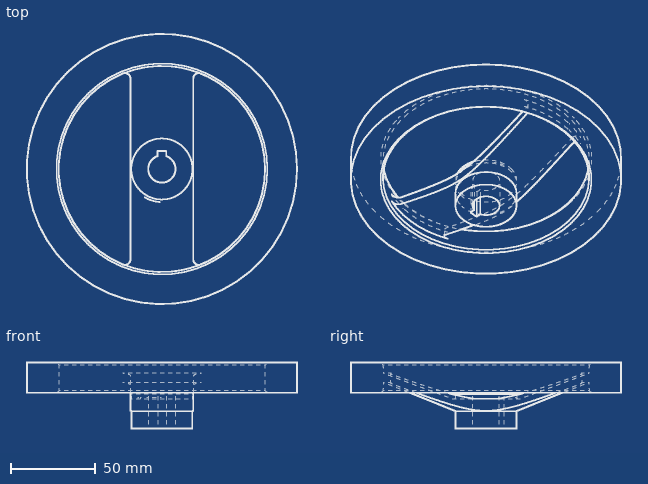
import cadquery as cq
import math

rim_outer_radius = 80.0
rim_inner_radius = 61.0
rim_height = 18.0
rim_chamfer = 1.5

overall_height = 39.0
hub_radius = 18.0
hub_top_z = -18.5
hub_bottom_z = -overall_height
bore_radius = 8.0
keyway_width = 5.0
keyway_reach = 10.5

spoke_width = 37.3
web_base_z = -28.8
web_under_slope = 0.4
web_top_base_z = -22.0
web_top_slope = 0.37
web_overlap = 3.2
corner_radius = 3.2
hub_fillet = 1.1


def web_under_z(radius):
    return web_base_z + web_under_slope * (radius - hub_radius)


def web_top_z(radius):
    return web_top_base_z + web_top_slope * (radius - hub_radius)


def revolve_profile(profile):
    """Revolve a closed (radius, z) profile about Z."""
    return profile.close().revolve(360, (0, 0, 0), (0, 1, 0))


def make_rim():
    profile = (
        cq.Workplane("XZ")
        .moveTo(rim_inner_radius, rim_chamfer - rim_height)
        .lineTo(rim_inner_radius + rim_chamfer, -rim_height)
        .lineTo(rim_outer_radius, -rim_height)
        .lineTo(rim_outer_radius, 0)
        .lineTo(rim_inner_radius + rim_chamfer, 0)
        .lineTo(rim_inner_radius, -rim_chamfer)
    )
    return revolve_profile(profile)


def make_web():
    """Conical web with a concave fillet running up the hub wall."""
    end_radius = rim_inner_radius + web_overlap
    tilt = math.atan(web_top_slope)
    center_r = hub_radius + hub_fillet
    center_z = web_top_z(center_r) + hub_fillet / math.cos(tilt)
    tangent_angle = tilt - math.pi / 2
    middle_angle = (tangent_angle - math.pi) / 2

    def arc_point(angle):
        return (center_r + hub_fillet * math.cos(angle), center_z + hub_fillet * math.sin(angle))

    profile = (
        cq.Workplane("XZ")
        .moveTo(0, web_base_z)
        .lineTo(hub_radius, web_base_z)
        .lineTo(end_radius, web_under_z(end_radius))
        .lineTo(end_radius, web_top_z(end_radius))
        .lineTo(*arc_point(tangent_angle))
        .threePointArc(arc_point(middle_angle), (hub_radius, center_z))
        .lineTo(0, center_z)
    )
    return revolve_profile(profile)


def make_spoke_outline():
    """Vertical prism of the spoke pair, flaring through round corners into the rim."""
    half_width = spoke_width / 2
    center_x = half_width + corner_radius
    center_distance = rim_inner_radius - corner_radius
    center_y = math.sqrt(center_distance**2 - center_x**2)
    touch_ratio = rim_inner_radius / center_distance
    touch_x = center_x * touch_ratio
    touch_y = center_y * touch_ratio
    touch_angle = math.atan2(center_y, center_x)
    middle_angle = (math.pi + touch_angle) / 2
    middle_x = center_x + corner_radius * math.cos(middle_angle)
    middle_y = center_y + corner_radius * math.sin(middle_angle)
    end_y = rim_inner_radius + web_overlap
    outline = (
        cq.Workplane("XY")
        .workplane(offset=-overall_height)
        .moveTo(half_width, -center_y)
        .lineTo(half_width, center_y)
        .threePointArc((middle_x, middle_y), (touch_x, touch_y))
        .lineTo(touch_x, end_y)
        .lineTo(-touch_x, end_y)
        .lineTo(-touch_x, touch_y)
        .threePointArc((-middle_x, middle_y), (-half_width, center_y))
        .lineTo(-half_width, -center_y)
        .threePointArc((-middle_x, -middle_y), (-touch_x, -touch_y))
        .lineTo(-touch_x, -end_y)
        .lineTo(touch_x, -end_y)
        .lineTo(touch_x, -touch_y)
        .threePointArc((middle_x, -middle_y), (half_width, -center_y))
        .close()
    )
    return outline.extrude(overall_height)


def make_hub():
    return (
        cq.Workplane("XY")
        .workplane(offset=hub_bottom_z)
        .circle(hub_radius)
        .extrude(hub_top_z - hub_bottom_z)
    )


def make_keyed_bore():
    bore_plane = cq.Workplane("XY").workplane(offset=hub_bottom_z)
    bore = bore_plane.circle(bore_radius).extrude(overall_height)
    keyway = (
        bore_plane.center(0, keyway_reach / 2)
        .rect(keyway_width, keyway_reach)
        .extrude(overall_height)
    )
    return bore.union(keyway)


spokes = make_web().intersect(make_spoke_outline())
result = make_rim().union(spokes).union(make_hub()).cut(make_keyed_bore())